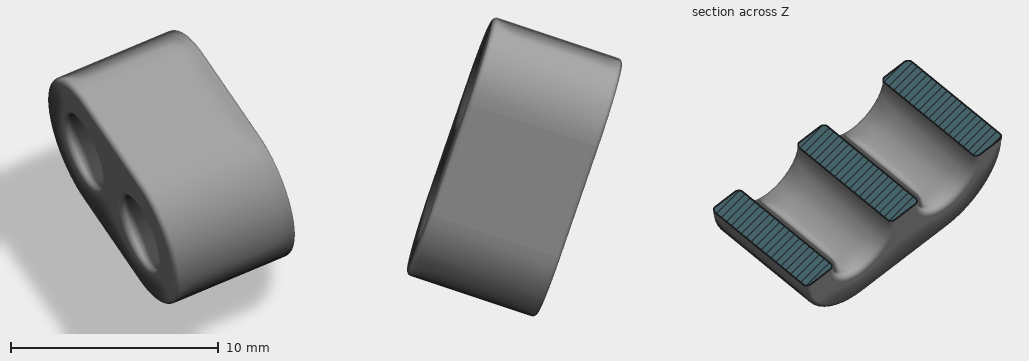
import cadquery as cq

overall_length = 13.2
depth = 6.6
height = 7.5
hole_diameter = 3.8
edge_radius = 0.25

hole_spacing = overall_length - height


def make_body():
    """Stadium-shaped block, centred on the origin and extruded along Y."""
    return (
        cq.Workplane("XZ")
        .slot2D(overall_length, height)
        .extrude(depth / 2, both=True)
    )


def cut_holes(body):
    """Cut two parallel holes through the full depth."""
    holes = (
        cq.Workplane("XZ")
        .pushPoints([(side * hole_spacing / 2, 0) for side in (-1, 1)])
        .circle(hole_diameter / 2)
        .extrude(depth / 2, both=True)
    )
    return body.cut(holes)


def round_end_edges(body):
    """Round the outer rim and the hole mouths on both end faces."""
    return body.faces("<Y or >Y").edges().fillet(edge_radius)


result = round_end_edges(cut_holes(make_body()))